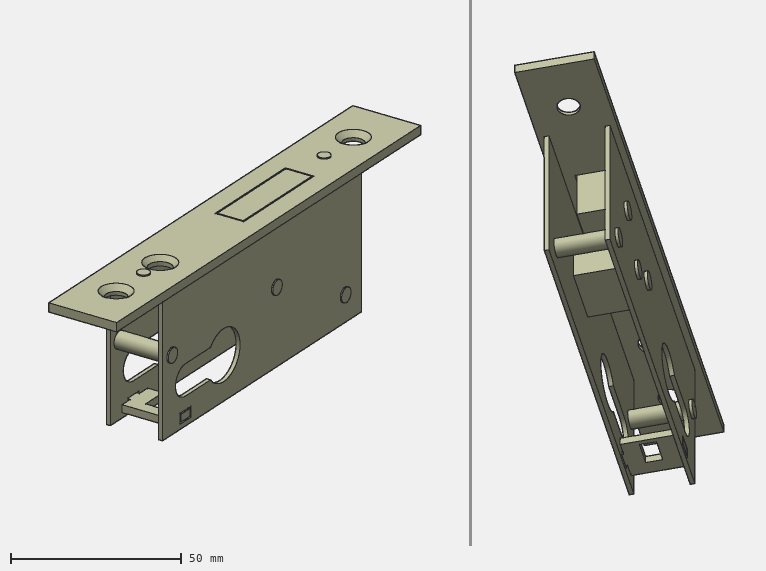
import cadquery as cq
import math


TOTAL_HEIGHT = 50.4

FACE_WIDTH = 24.0
FACE_LENGTH = 160.0
FACE_THICKNESS = 3.0
RIVET_DIAMETER = 4.2
RIVET_HEIGHT = 0.4
RIVET_YS = (47.0, -48.0)
FACE_TOP = TOTAL_HEIGHT - RIVET_HEIGHT
FACE_BOTTOM = FACE_TOP - FACE_THICKNESS

MOUNTING_HOLE_Y = 62.4
MOUNTING_HOLE_DIAMETER = 6.9
MOUNTING_SINK_DIAMETER = 10.5
FIXING_HOLE_Y = -39.2
FIXING_HOLE_DIAMETER = 7.7
FIXING_SINK_DIAMETER = 10.9
SINK_ANGLE = 90.0

CASE_WIDTH = 19.8
SIDE_THICKNESS = 1.5
CASE_BACK_Y = 52.0
CASE_FRONT_Y = -52.8
INNER_WIDTH = CASE_WIDTH - 2 * SIDE_THICKNESS

CYLINDER_RADIUS = 8.6
CYLINDER_Y = -20.6
KEYHOLE_Z = 15.0
KEYHOLE_SLOT_RADIUS = 5.3
KEYHOLE_END_Y = -40.6

PIN_DIAMETER = 5.8
PIN_END_DIAMETER = 5.0
HEAD_HEIGHT = 1.0
PIN_END_HEIGHT = 0.5
MIDDLE_PIN = (7.0, 26.0)
PINS = (MIDDLE_PIN, (-48.0, 26.0), (43.2, 9.1))
SPACER_STUD = (19.0, 19.0)
STUDS = ((31.8, 31.0), SPACER_STUD)

SPACER_BOTTOM = 18.2
SPACER_TOP = MIDDLE_PIN[1] + PIN_DIAMETER / 2
SPACER_FRONT_Y = MIDDLE_PIN[0] - PIN_DIAMETER / 2
SPACER_BACK_Y = SPACER_STUD[0] + PIN_DIAMETER / 2

BOLT_WIDTH = 9.1
BOLT_LENGTH = 36.0
BOLT_BOTTOM = 31.4
BOLT_Y = 15.7
BOLT_GAP = 0.5

FIXING_PLATE_LENGTH = 13.5
FIXING_PLATE_THICKNESS = 2.5
FIXING_PLATE_Z = 3.5
FIXING_PLATE_GAP = 0.5
TAB_LENGTH = 4.8
SCREW_SLOT_WIDTH = 5.1
FIXING_PLATE_Y = KEYHOLE_END_Y


def block(size_x, y_range, z_range):
    """A block centred on X = 0."""
    front, back = y_range
    bottom, top = z_range
    return cq.Workplane("XY").box(size_x, back - front, top - bottom).translate(
        (0, (front + back) / 2, (bottom + top) / 2)
    )


def centred_block(size, y, z):
    """A block of the given size centred on X = 0, Y = y, Z = z."""
    return cq.Workplane("XY").box(*size).translate((0, y, z))


def rod_along_x(diameter, place, x_start, x_end):
    """A round rod along X at the given (y, z) place."""
    return (
        cq.Workplane("YZ", origin=(x_start, 0, 0))
        .center(*place)
        .circle(diameter / 2)
        .extrude(x_end - x_start)
    )


def make_faceplate():
    plate = block(FACE_WIDTH, (-FACE_LENGTH / 2, FACE_LENGTH / 2), (FACE_BOTTOM, FACE_TOP))
    top = plate.faces(">Z").workplane(origin=(0, 0, FACE_TOP))
    plate = top.pushPoints([(0, MOUNTING_HOLE_Y), (0, -MOUNTING_HOLE_Y)]).cskHole(
        MOUNTING_HOLE_DIAMETER, MOUNTING_SINK_DIAMETER, SINK_ANGLE
    )
    top = plate.faces(">Z").workplane(origin=(0, 0, FACE_TOP))
    plate = top.pushPoints([(0, FIXING_HOLE_Y)]).cskHole(
        FIXING_HOLE_DIAMETER, FIXING_SINK_DIAMETER, SINK_ANGLE
    )
    slot_size = (BOLT_WIDTH + 2 * BOLT_GAP, BOLT_LENGTH + 2 * BOLT_GAP, 2 * FACE_THICKNESS)
    plate = plate.cut(centred_block(slot_size, BOLT_Y, FACE_TOP))
    for y in RIVET_YS:
        rivet = cq.Workplane("XY", origin=(0, y, FACE_TOP)).circle(RIVET_DIAMETER / 2)
        plate = plate.union(rivet.extrude(RIVET_HEIGHT))
    return plate


def make_keyhole():
    """Cutter for the round cylinder opening and the round-ended slot below it."""
    throat = math.sqrt(CYLINDER_RADIUS**2 - KEYHOLE_SLOT_RADIUS**2)
    upper = KEYHOLE_Z + KEYHOLE_SLOT_RADIUS
    lower = KEYHOLE_Z - KEYHOLE_SLOT_RADIUS
    return (
        cq.Workplane("YZ")
        .moveTo(CYLINDER_Y - throat, upper)
        .threePointArc((CYLINDER_Y + CYLINDER_RADIUS, KEYHOLE_Z), (CYLINDER_Y - throat, lower))
        .lineTo(KEYHOLE_END_Y, lower)
        .threePointArc((KEYHOLE_END_Y - KEYHOLE_SLOT_RADIUS, KEYHOLE_Z), (KEYHOLE_END_Y, upper))
        .close()
        .extrude(CASE_WIDTH / 2, both=True)
    )


def make_side_plates():
    y_range = (CASE_FRONT_Y, CASE_BACK_Y)
    z_range = (0, FACE_BOTTOM)
    plates = block(CASE_WIDTH, y_range, z_range).cut(block(INNER_WIDTH, y_range, z_range))
    window_size = (
        CASE_WIDTH,
        TAB_LENGTH + 2 * FIXING_PLATE_GAP,
        FIXING_PLATE_THICKNESS + 2 * FIXING_PLATE_GAP,
    )
    window = centred_block(window_size, FIXING_PLATE_Y, FIXING_PLATE_Z)
    return plates.cut(make_keyhole()).cut(window)


def make_case():
    outer = CASE_WIDTH / 2
    inner = INNER_WIDTH / 2
    case = make_faceplate().union(make_side_plates())
    case = case.union(
        block(INNER_WIDTH, (SPACER_FRONT_Y, SPACER_BACK_Y), (SPACER_BOTTOM, SPACER_TOP))
    )
    for place in PINS:
        case = case.union(rod_along_x(PIN_DIAMETER, place, -outer - HEAD_HEIGHT, inner))
        case = case.union(rod_along_x(PIN_END_DIAMETER, place, inner, outer + PIN_END_HEIGHT))
    for place in STUDS:
        case = case.union(rod_along_x(PIN_DIAMETER, place, -outer - HEAD_HEIGHT, -inner))
    return case


def make_bolt():
    half_length = BOLT_LENGTH / 2
    return block(BOLT_WIDTH, (BOLT_Y - half_length, BOLT_Y + half_length), (BOLT_BOTTOM, FACE_TOP))


def make_fixing_plate():
    body_size = (INNER_WIDTH - 2 * FIXING_PLATE_GAP, FIXING_PLATE_LENGTH, FIXING_PLATE_THICKNESS)
    tab_size = (CASE_WIDTH, TAB_LENGTH, FIXING_PLATE_THICKNESS)
    slot_size = (SCREW_SLOT_WIDTH, FIXING_HOLE_DIAMETER, FIXING_PLATE_THICKNESS)
    plate = centred_block(body_size, FIXING_PLATE_Y, FIXING_PLATE_Z)
    plate = plate.union(centred_block(tab_size, FIXING_PLATE_Y, FIXING_PLATE_Z))
    return plate.cut(centred_block(slot_size, FIXING_HOLE_Y, FIXING_PLATE_Z))


case = make_case()
bolt = make_bolt()
fixing_plate = make_fixing_plate()

result = cq.Compound.makeCompound([case.val(), bolt.val(), fixing_plate.val()])